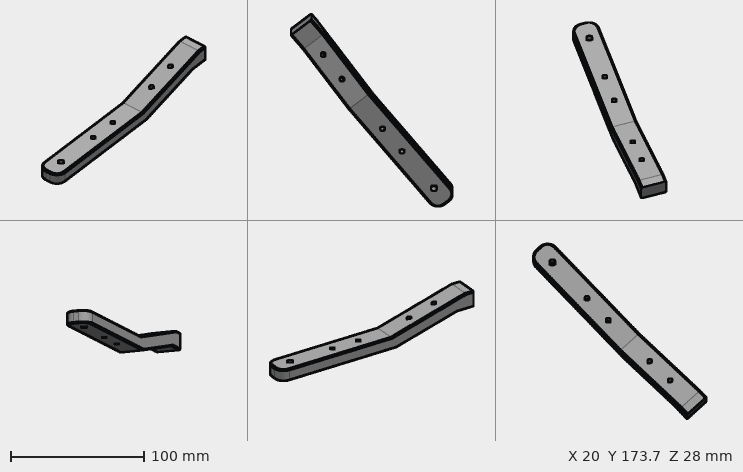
import cadquery as cq
import math

length = 173.7
width = 20.0
height = 28.0

bar_thickness = 10.0
pad_thickness = 13.4
slope_angle = 15.0
top_bend_y = 13.0
pad_bottom_length = 14.6

nose_radius = 8.0
edge_chamfer = 1.0

screw_diameter = 3.5
pivot_diameter = 4.5
pivot_y = -71.5
bar_screw_ys = (-33.5, -10.2)
arm_screw_ys = (35.3, 57.7)

slope = math.tan(math.radians(slope_angle))
front_y = -length / 2
back_y = length / 2
pad_bottom_z = height - pad_thickness
pad_bottom_y = back_y - pad_bottom_length
pad_top_y = top_bend_y + (height - bar_thickness) / slope
bottom_bend_y = pad_bottom_y - pad_bottom_z / slope


def bent_body():
    """Extrude the bent side profile across the width, centred on X = 0."""
    outline = [
        (front_y, 0),
        (bottom_bend_y, 0),
        (pad_bottom_y, pad_bottom_z),
        (back_y, pad_bottom_z),
        (back_y, height),
        (pad_top_y, height),
        (top_bend_y, bar_thickness),
        (front_y, bar_thickness),
    ]
    return cq.Workplane("YZ").polyline(outline).close().extrude(width / 2, both=True)


def chamfer_rims(body):
    """Chamfer the top and bottom rims along both sides and around the nose."""
    side_rims = body.faces("<X or >X").edges("not(|Z)")
    nose_rims = body.edges("%CIRCLE")
    front_rims = body.faces("<Y").edges("|X")
    return side_rims.add(nose_rims).add(front_rims).chamfer(edge_chamfer)


def through_hole(diameter, y, z, tilt=0.0):
    """Cutter through the full part at (y, z), tilted about X from vertical."""
    return (
        cq.Workplane("XY")
        .circle(diameter / 2)
        .extrude(height, both=True)
        .rotate((0, 0, 0), (1, 0, 0), tilt)
        .translate((0, y, z))
    )


result = chamfer_rims(bent_body().edges("<Y and |Z").fillet(nose_radius))

result = result.cut(through_hole(pivot_diameter, pivot_y, 0))
for screw_y in bar_screw_ys:
    result = result.cut(through_hole(screw_diameter, screw_y, 0))

for screw_y in arm_screw_ys:
    screw_z = bar_thickness + (screw_y - top_bend_y) * slope
    result = result.cut(through_hole(screw_diameter, screw_y, screw_z, slope_angle))